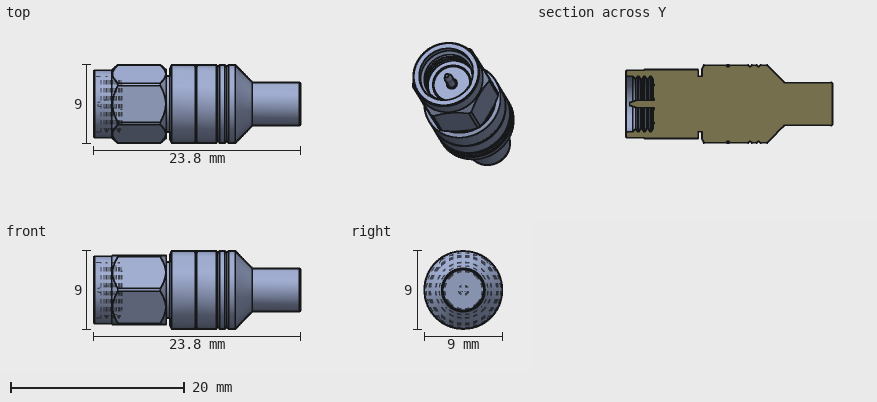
import cadquery as cq
import math


overall_length = 23.8
hex_start = 2.05
hex_end = 8.35
body_start = 8.73
body_end = 16.28
tail_start = 18.23

collar_radius = 3.9
collar_chamfer = 0.1
hex_sides = 6
hex_across_flats = 7.96
hex_corner_radius = 4.5
hex_bevel_length = 0.7

thread_major_radius = 3.175
thread_minor_radius = 2.79
inch = 25.4
threads_per_inch = 36
thread_pitch = inch / threads_per_inch
thread_flank_angle = 30
thread_crest_width = 0.15
counterbore_depth = 0.8
lead_in_radius = 2.82
first_ridge_start = 1.48
full_ridge_count = 2

neck_radius = 3.24
body_radius = 4.5
body_bevel_length = 0.22
body_bevel_height = 0.5
slot_start = 11.65
slot_width = 0.2
slot_depth = 0.2
v_groove_centers = (14.27, 15.28)
v_groove_depth = 0.21
tail_radius = 2.5
tail_chamfer = 0.15

insulator_radius = 2.13
insulator_gap = 0.1
pin_radius = 0.46
pin_gap = 0.14
gap_depth = 0.1
pin_tip_radius = 0.2
pin_tip_start = 0.43
pin_taper_end = 1.27

flank_slope = math.tan(math.radians(thread_flank_angle))
flank_length = (thread_major_radius - thread_minor_radius) * flank_slope
lead_in_depth = thread_major_radius - lead_in_radius
lead_in_end = counterbore_depth + lead_in_depth
lead_in_flank = lead_in_depth * flank_slope
last_flank_start = first_ridge_start + full_ridge_count * thread_pitch
socket_depth = last_flank_start + flank_length
pin_root = socket_depth + gap_depth


def revolve_about_axis(points):
    """Turn a closed outline of (x, radius) points into a solid of revolution about X."""
    return cq.Workplane("XY").polyline(points).close().revolve(360, (0, 0, 0), (1, 0, 0))


def ring(start, end, inner_radius, outer_radius):
    """Ring of rectangular section between two stations along the axis."""
    return revolve_about_axis(
        [(start, inner_radius), (end, inner_radius), (end, outer_radius), (start, outer_radius)]
    )


def make_collar():
    """Round front end of the nut with a chamfered rim."""
    return revolve_about_axis([
        (0, 0),
        (0, collar_radius - collar_chamfer),
        (collar_chamfer, collar_radius),
        (hex_start, collar_radius),
        (hex_start, 0),
    ])


def make_hex():
    """Hexagon with flats facing +Z and -Z, turned to a double-bevelled envelope."""
    across_corners = hex_across_flats / math.cos(math.pi / hex_sides)
    prism = (
        cq.Workplane("YZ", origin=(hex_start, 0, 0))
        .polygon(hex_sides, across_corners)
        .extrude(hex_end - hex_start)
    )
    envelope = revolve_about_axis([
        (hex_start, 0),
        (hex_start, collar_radius),
        (hex_start + hex_bevel_length, hex_corner_radius),
        (hex_end - hex_bevel_length, hex_corner_radius),
        (hex_end, collar_radius),
        (hex_end, 0),
    ])
    return prism.intersect(envelope)


def make_body_and_tail():
    """Neck, bevelled body, rear cone and the tail."""
    return revolve_about_axis([
        (hex_end, 0),
        (hex_end, neck_radius),
        (body_start, neck_radius),
        (body_start, body_radius - body_bevel_height),
        (body_start + body_bevel_length, body_radius),
        (body_end, body_radius),
        (tail_start, tail_radius),
        (overall_length - tail_chamfer, tail_radius),
        (overall_length, tail_radius - tail_chamfer),
        (overall_length, 0),
    ])


def make_body_grooves():
    """One square slot and the 90-degree V-grooves; the cutters overshoot the body surface."""
    grooves = ring(slot_start, slot_start + slot_width, body_radius - slot_depth, body_radius + slot_depth)
    v_groove_reach = 2 * v_groove_depth
    for center in v_groove_centers:
        groove = revolve_about_axis([
            (center - v_groove_reach, body_radius + v_groove_depth),
            (center, body_radius - v_groove_depth),
            (center + v_groove_reach, body_radius + v_groove_depth),
        ])
        grooves = grooves.union(groove)
    return grooves


def make_socket():
    """Cavity of the nut: counterbore, 45-degree lead-in, ring ridges and a flat floor."""
    outline = [
        (0, 0),
        (0, thread_major_radius),
        (counterbore_depth, thread_major_radius),
        (lead_in_end, lead_in_radius),
        (lead_in_end + lead_in_flank, thread_major_radius),
    ]
    for index in range(full_ridge_count):
        ridge_start = first_ridge_start + index * thread_pitch
        crest_start = ridge_start + flank_length
        crest_end = crest_start + thread_crest_width
        outline.append((ridge_start, thread_major_radius))
        outline.append((crest_start, thread_minor_radius))
        outline.append((crest_end, thread_minor_radius))
        outline.append((crest_end + flank_length, thread_major_radius))
    outline.append((last_flank_start, thread_major_radius))
    outline.append((socket_depth, thread_minor_radius))
    outline.append((socket_depth, 0))
    return revolve_about_axis(outline)


def make_gaps():
    """Thin clearances around the insulator and around the pin in the socket floor."""
    insulator_clearance = ring(socket_depth, pin_root, insulator_radius, insulator_radius + insulator_gap)
    pin_clearance = ring(socket_depth, pin_root, pin_radius, pin_radius + pin_gap)
    return insulator_clearance.union(pin_clearance)


def make_pin():
    """Center pin with a blunt tapered tip."""
    return revolve_about_axis([
        (pin_tip_start, 0),
        (pin_tip_start, pin_tip_radius),
        (pin_taper_end, pin_radius),
        (pin_root, pin_radius),
        (pin_root, 0),
    ])


shell = make_collar().union(make_hex()).union(make_body_and_tail())
shell = shell.cut(make_body_grooves()).cut(make_socket()).cut(make_gaps())
result = shell.union(make_pin())